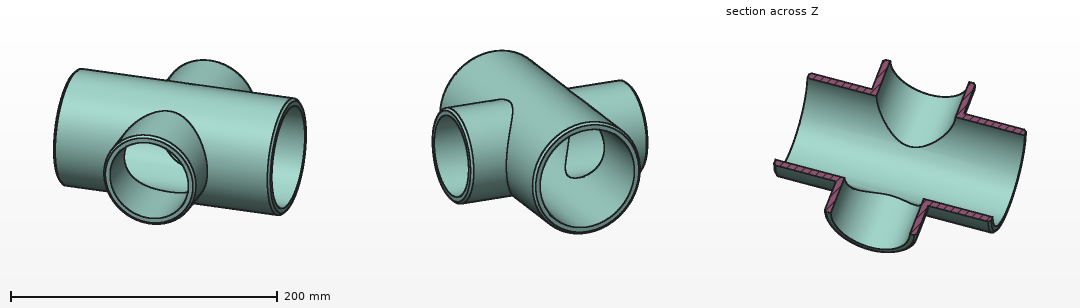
import cadquery as cq

run_length = 171.7
run_outer_diameter = 88.9
run_wall = 5.49

branch_length = 146.3
branch_outer_diameter = 73.1
branch_wall = 5.45

end_bevel = 1.83


def bar(plane, diameter, length):
    """Solid round bar centred on the origin, along the normal of the plane."""
    return cq.Workplane(plane).circle(diameter / 2).extrude(length / 2, both=True)


def bore(plane, outer_diameter, wall, length):
    """Through bore that leaves the given wall thickness in a pipe."""
    return bar(plane, outer_diameter - 2 * wall, length)


run = bar("YZ", run_outer_diameter, run_length).edges("<X or >X").chamfer(end_bevel)
branch = bar("XZ", branch_outer_diameter, branch_length).edges("<Y or >Y").chamfer(end_bevel)

run_bore = bore("YZ", run_outer_diameter, run_wall, run_length)
branch_bore = bore("XZ", branch_outer_diameter, branch_wall, branch_length)

result = run.union(branch).cut(run_bore).cut(branch_bore)